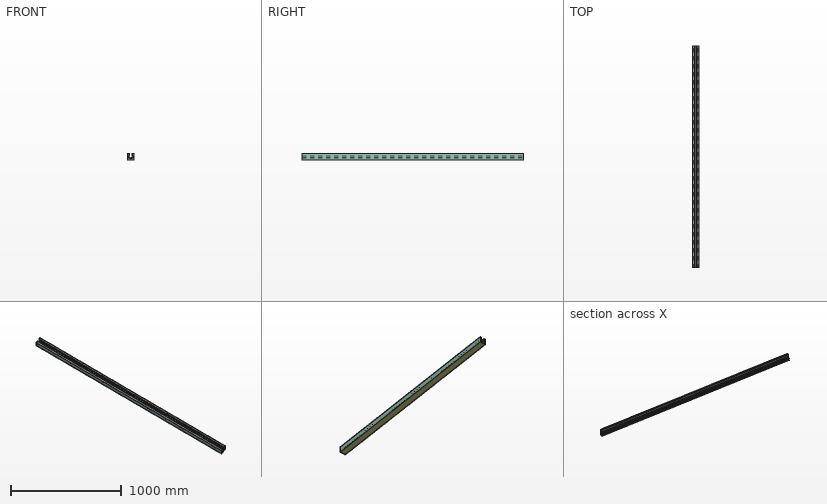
import cadquery as cq

WIDTH = 60.0
LENGTH = 2000.0
HEIGHT = 60.0

SLOT_WIDTH = 27.0
LIP_HEIGHT = 24.0
UNDERCUT_DEPTH = 5.0
CAVITY_WIDTH = SLOT_WIDTH + 2 * UNDERCUT_DEPTH

FLOOR_THICKNESS = 22.0
GROOVE_WIDTH = 15.0
GROOVE_DEPTH = 3.0

TOP_Z = HEIGHT / 2
LIP_BOTTOM_Z = TOP_Z - LIP_HEIGHT
FLOOR_Z = FLOOR_THICKNESS - HEIGHT / 2
GROOVE_BOTTOM_Z = FLOOR_Z - GROOVE_DEPTH


def full_length_bar(width, bottom_z, top_z):
    """Rectangular bar along the whole rail, centred in X, between two heights."""
    bar = cq.Workplane("XY").box(width, LENGTH, top_z - bottom_z, centered=(True, True, False))
    return bar.translate((0, 0, bottom_z))


body = cq.Workplane("XY").box(WIDTH, LENGTH, HEIGHT)

slot = full_length_bar(SLOT_WIDTH, FLOOR_Z, TOP_Z)

cavity = full_length_bar(CAVITY_WIDTH, FLOOR_Z, LIP_BOTTOM_Z)

groove = full_length_bar(GROOVE_WIDTH, GROOVE_BOTTOM_Z, FLOOR_Z)

result = body.cut(slot).cut(cavity).cut(groove)